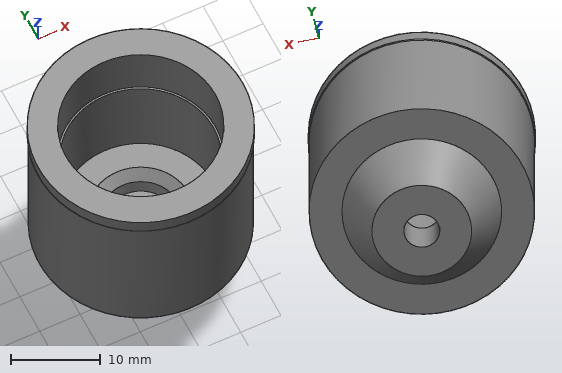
import cadquery as cq
import math


flange_radius = 12.65
flange_height = 1.85
body_radius = 12.55
body_depth = 20.5
flange_chamfer = flange_radius - body_radius
nozzle_top_radius = 8.88
nozzle_tip_radius = 5.55
nozzle_height = 5.2
total_depth = body_depth + nozzle_height

entry_radius = 9.25
entry_depth = 6.85
bore_radius = 9.0
floor_thickness = 2.0
bore_depth = body_depth - floor_thickness

funnel_top_radius = 5.9
cup_top_radius = 4.5
cup_floor_radius = 4.05
funnel_slope_degrees = 30
funnel_height = (funnel_top_radius - cup_top_radius) * math.tan(math.radians(funnel_slope_degrees))
cup_height = 1.27
cup_top_depth = bore_depth + funnel_height
cup_floor_depth = cup_top_depth + cup_height
outlet_radius = 2.0


def turn(profile):
    """Close a half section in the XZ plane and revolve it about Z."""
    return profile.close().revolve(360, (0, 0, 0), (0, 1, 0))


def outer_body():
    profile = (
        cq.Workplane("XZ")
        .lineTo(flange_radius, 0)
        .lineTo(flange_radius, -flange_height)
        .lineTo(body_radius, -flange_height - flange_chamfer)
        .lineTo(body_radius, -body_depth)
        .lineTo(nozzle_top_radius, -body_depth)
        .lineTo(nozzle_tip_radius, -total_depth)
        .lineTo(0, -total_depth)
    )
    return turn(profile)


def inner_cavity():
    profile = (
        cq.Workplane("XZ")
        .lineTo(entry_radius, 0)
        .lineTo(entry_radius, -entry_depth)
        .lineTo(bore_radius, -entry_depth)
        .lineTo(bore_radius, -bore_depth)
        .lineTo(funnel_top_radius, -bore_depth)
        .lineTo(cup_top_radius, -cup_top_depth)
        .lineTo(cup_floor_radius, -cup_floor_depth)
        .lineTo(outlet_radius, -cup_floor_depth)
        .lineTo(outlet_radius, -total_depth)
        .lineTo(0, -total_depth)
    )
    return turn(profile)


result = outer_body().cut(inner_cavity())